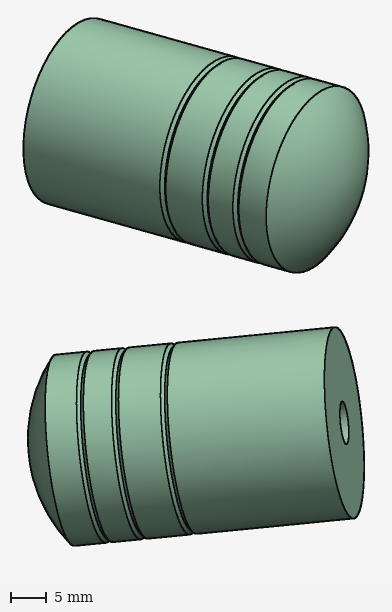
import cadquery as cq

total_length = 44.9
outer_diameter = 27.0
housing_length = 40.0
bore_diameter = 6.0
groove_depth = 0.5
groove_centers = [23.0, 30.0, 35.0]

outer_radius = outer_diameter / 2
dome_height = total_length - housing_length
dome_sphere_radius = (outer_radius**2 + dome_height**2) / (2 * dome_height)


def revolve_about_x(profile):
    """Turn a closed XY profile into a solid of revolution about the X axis."""
    return profile.revolve(360, (0, 0, 0), (1, 0, 0))


def make_groove_cutter(center_x):
    """Ring that cuts one 90 degree V groove around the housing."""
    profile = cq.Workplane("XY").polyline([
        (center_x - groove_depth, outer_radius),
        (center_x, outer_radius - groove_depth),
        (center_x + groove_depth, outer_radius),
        (center_x, outer_radius + groove_depth),
    ]).close()
    return revolve_about_x(profile)


def make_housing():
    """Cylinder with an axial bore and V grooves around its outside."""
    housing = (
        cq.Workplane("YZ")
        .circle(outer_radius)
        .circle(bore_diameter / 2)
        .extrude(housing_length)
    )
    for center_x in groove_centers:
        housing = housing.cut(make_groove_cutter(center_x))
    return housing


def make_dome_cap():
    """Spherical cap that sits flat on the housing and closes its bore."""
    sphere_center_x = total_length - dome_sphere_radius
    mid_radius = outer_radius / 2
    mid_x = sphere_center_x + (dome_sphere_radius**2 - mid_radius**2) ** 0.5
    profile = (
        cq.Workplane("XY")
        .moveTo(housing_length, 0)
        .lineTo(housing_length, outer_radius)
        .threePointArc((mid_x, mid_radius), (total_length, 0))
        .close()
    )
    return revolve_about_x(profile)


housing = make_housing()
dome_cap = make_dome_cap()

result = cq.Compound.makeCompound([housing.solids().val(), dome_cap.val()])